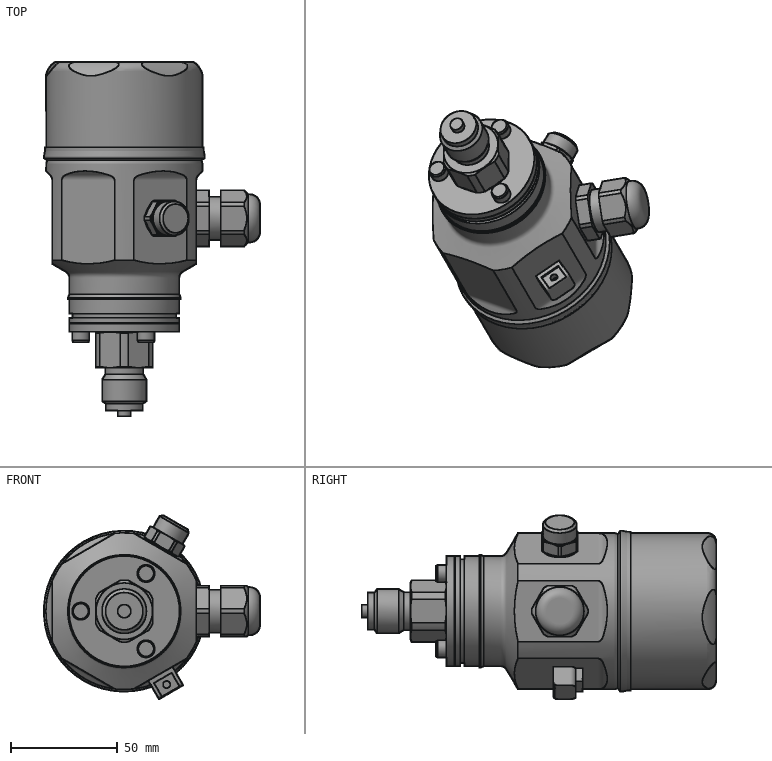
import cadquery as cq
import math


cutter_margin = 5.0
hexagon_half_pitch = 30.0

neck_radius = 26.0
collar_end = 2.5
neck_groove_end = 4.4
neck_groove_radius = 24.5
lip_start = 11.3
lip_end = 12.0
lip_radius = 26.6
lip_flare_end = 13.5
sleeve_end = 21.5

housing_radius = 36.9
cone_angle = 60.0
cone_fillet = 3.0
housing_start = 29.6
housing_end = 76.7
housing_edge = 1.6
housing_edge_depth = 0.5
flat_count = 6
flat_distance = 34.0
flat_end = 67.3
flat_run_out = 3.5
flat_run_out_angle = 45.0

cover_radius = 36.9
cover_height = 123.0
cover_fillet = 4.3
cover_turn = 4.65
rim_groove_radius = 36.4
rim_start = 77.7
rim_peak_end = 78.7
rim_flare_end = 81.0
rim_end = 82.7
rim_radius = 37.95
rim_upper_radius = 37.5
scallop_count = 6
scallop_height = 6.6
scallop_depth = 5.1
scallop_bulge = 0.5

fitting_y = 49.3
fitting_root = 30.0

gland_hex_width = 24.0
gland_hex_corner = 26.6
gland_nut_end = 40.0
gland_neck_radius = 10.2
gland_cap_start = 45.4
gland_cap_chamfer_start = 56.4
gland_cap_end = 58.3
gland_dome_radius = 11.4
gland_dome_fillet = 5.0
gland_end = 64.0

plug_angle = 60.0
plug_hex_width = 17.0
plug_hex_corner = 18.8
plug_hex_start = 34.8
plug_hex_end = 41.0
plug_hex_chamfer = 0.7
plug_washer_radius = 8.3
plug_radius = 8.0
plug_chamfer = 1.2
plug_end = 48.3

terminal_angle = -60.0
terminal_end = 44.1
terminal_width = 13.2
terminal_front_y = 46.2
terminal_back_y = 56.9
terminal_front_round = 2.0
terminal_back_round = 2.5
terminal_face_width = 9.6
terminal_face_depth = 0.8
terminal_face_start = 36.3
terminal_hole = 3.4
terminal_hole_reach = 39.9
terminal_hole_depth = 4.0
terminal_foot_end = 41.0
terminal_foot_width = 10.0
terminal_foot_back_y = 60.0

joint_gap = 0.2
flange_thickness = 3.9
bolt_count = 3
bolt_circle = 20.5
bolt_radius = 4.1
bolt_height = 5.0
bolt_edge = 0.5
bolt_edge_height = 1.0
hex_width = 27.0
hex_corner = 29.2
hex_length = 17.0
hex_face_radius = 13.3
hex_chamfer_length = 0.6
undercut_radius = 9.0
undercut_length = 3.0
thread_radius = 10.48
thread_runout = 2.5
thread_length = 10.2
thread_chamfer = 1.2
spigot_radius = 8.8
spigot_length = 3.2
pin_radius = 3.1
pin_length = 2.8


def turned_about_y(points):
    """Solid of revolution about Y from (radius, y) points closed along the axis."""
    outline = [(0, points[0][1])] + points + [(0, points[-1][1])]
    return cq.Workplane("XY").polyline(outline).close().revolve(360, (0, 0), (0, 1))


def turned_about_x(points):
    """Solid of revolution about X from (x, radius) points closed along the axis."""
    outline = [(points[0][0], 0)] + points + [(points[-1][0], 0)]
    return cq.Workplane("XY").polyline(outline).close().revolve(360, (0, 0), (1, 0))


def hex_bar(plane, width, length):
    """Hexagonal prism of a given width across flats, with corners on the plane's first axis."""
    corner_to_corner = width / math.cos(math.radians(hexagon_half_pitch))
    return cq.Workplane(plane).polygon(6, corner_to_corner).extrude(length)


def to_fitting(shape, angle):
    """Move a fitting built along X to its station and turn it about the main axis."""
    return shape.rotate((0, 0, 0), (0, 1, 0), -angle).translate((0, fitting_y, 0))


def make_neck():
    return turned_about_y([
        (neck_radius, 0),
        (neck_radius, collar_end),
        (neck_groove_radius, collar_end),
        (neck_groove_radius, neck_groove_end),
        (neck_radius, neck_groove_end),
        (neck_radius, lip_start),
        (lip_radius, lip_start),
        (lip_radius, lip_end),
        (neck_radius, lip_flare_end),
        (neck_radius, sleeve_end),
    ])


def flat_cutter(angle):
    """Cutter for one housing flat, with a rounded, sloping run-out toward the cover."""
    outside = housing_radius + cutter_margin
    below = sleeve_end
    bend = math.radians(flat_run_out_angle)
    arc_x = flat_distance + flat_run_out * (1 - math.cos(bend))
    arc_y = flat_end + flat_run_out * math.sin(bend)
    mid_x = flat_distance + flat_run_out * (1 - math.cos(bend / 2))
    mid_y = flat_end + flat_run_out * math.sin(bend / 2)
    return (
        cq.Workplane("XY")
        .moveTo(flat_distance, below)
        .lineTo(flat_distance, flat_end)
        .threePointArc((mid_x, mid_y), (arc_x, arc_y))
        .lineTo(outside, arc_y + (outside - arc_x) * math.tan(bend))
        .lineTo(outside, below)
        .close()
        .extrude(housing_radius, both=True)
        .rotate((0, 0, 0), (0, 1, 0), angle)
    )


def make_housing():
    slope = math.radians(cone_angle)
    fillet_end_radius = neck_radius + cone_fillet * (1 - math.cos(slope))
    fillet_end_y = sleeve_end + cone_fillet * math.sin(slope)
    fillet_mid_radius = neck_radius + cone_fillet * (1 - math.cos(slope / 2))
    fillet_mid_y = sleeve_end + cone_fillet * math.sin(slope / 2)
    shell = (
        cq.Workplane("XY")
        .moveTo(0, sleeve_end)
        .lineTo(neck_radius, sleeve_end)
        .threePointArc((fillet_mid_radius, fillet_mid_y), (fillet_end_radius, fillet_end_y))
        .lineTo(housing_radius, housing_start)
        .lineTo(housing_radius, housing_end - housing_edge)
        .lineTo(housing_radius - housing_edge_depth, housing_end)
        .lineTo(0, housing_end)
        .close()
        .revolve(360, (0, 0), (0, 1))
    )
    for index in range(flat_count):
        shell = shell.cut(flat_cutter(index * 360 / flat_count))
    return shell


def scallop_cutter(angle):
    """Cutter for one grip scallop on the cover's edge, with a bulging floor."""
    outside = cover_radius + cutter_margin
    top = cover_height + cutter_margin
    chord = math.hypot(scallop_depth, scallop_height)
    mid_radius = cover_radius - scallop_depth / 2 + scallop_bulge * scallop_height / chord
    mid_y = cover_height - scallop_height / 2 + scallop_bulge * scallop_depth / chord
    return (
        cq.Workplane("XY")
        .moveTo(cover_radius, cover_height - scallop_height)
        .threePointArc(
            (mid_radius, mid_y),
            (cover_radius - scallop_depth, cover_height),
        )
        .lineTo(cover_radius - scallop_depth, top)
        .lineTo(outside, top)
        .lineTo(outside, cover_height - scallop_height)
        .close()
        .extrude(cover_radius, both=True)
        .rotate((0, 0, 0), (0, 1, 0), angle)
    )


def make_cover():
    cover = turned_about_y([
        (rim_groove_radius, housing_end),
        (rim_radius, rim_start),
        (rim_radius, rim_peak_end),
        (rim_upper_radius, rim_flare_end),
        (rim_upper_radius, rim_end),
        (cover_radius, rim_end),
        (cover_radius, cover_height),
    ])
    cover = cover.faces(">Y").edges().fillet(cover_fillet)
    for index in range(scallop_count):
        cover = cover.cut(scallop_cutter(cover_turn + index * 360 / scallop_count))
    return cover


def make_gland():
    """Cable gland along X: nut, waist and domed cap nut."""
    corner = gland_hex_corner / 2
    nut_end = gland_nut_end
    envelope = turned_about_x([
        (fitting_root, corner),
        (nut_end, corner),
        (nut_end, gland_neck_radius),
        (gland_cap_start, gland_neck_radius),
        (gland_cap_start, corner),
        (gland_cap_chamfer_start, corner),
        (gland_cap_end, gland_dome_radius),
    ])
    hexagon = hex_bar("YZ", gland_hex_width, gland_end)
    dome = turned_about_x([(gland_cap_start, gland_dome_radius), (gland_end, gland_dome_radius)])
    dome = dome.faces(">X").edges().fillet(gland_dome_fillet)
    return to_fitting(envelope.intersect(hexagon).union(dome), 0)


def make_plug():
    """Blanking plug with a hexagon base on a round washer."""
    corner = plug_hex_corner / 2
    hexagon = hex_bar("YZ", plug_hex_width, plug_hex_end).rotate((0, 0, 0), (1, 0, 0), hexagon_half_pitch)
    envelope = turned_about_x([
        (plug_hex_start, corner - plug_hex_chamfer),
        (plug_hex_start + plug_hex_chamfer / 2, corner),
        (plug_hex_end - plug_hex_chamfer / 2, corner),
        (plug_hex_end, corner - plug_hex_chamfer),
    ])
    washer = turned_about_x([
        (fitting_root, plug_washer_radius),
        (plug_hex_start, plug_washer_radius),
    ])
    button = turned_about_x([(fitting_root, plug_radius), (plug_end, plug_radius)])
    button = button.faces(">X").chamfer(plug_chamfer)
    head = hexagon.intersect(envelope)
    return to_fitting(head.union(washer).union(button), plug_angle)


def radial_box(start, end, width, front_y, back_y):
    """Box along X between two distances from the main axis and two stations along Y."""
    return (
        cq.Workplane("XY")
        .box(end - start, back_y - front_y, width, centered=(False, False, True))
        .translate((start, front_y - fitting_y, 0))
    )


def make_terminal():
    """Ground terminal with a recessed, drilled front face and a lower foot behind it."""
    block = radial_box(fitting_root, terminal_end, terminal_width, terminal_front_y, terminal_back_y)
    block = block.edges(">Y and |X").fillet(terminal_back_round)
    block = block.edges("<Y and >X").fillet(terminal_front_round)
    recess_y = terminal_front_y + terminal_face_depth
    recess = radial_box(
        terminal_face_start, terminal_end, terminal_face_width, terminal_front_y, recess_y
    )
    hole = (
        cq.Workplane("XZ", origin=(terminal_hole_reach, terminal_front_y - fitting_y, 0))
        .circle(terminal_hole / 2)
        .extrude(-terminal_hole_depth)
    )
    foot = radial_box(
        fitting_root, terminal_foot_end, terminal_foot_width, terminal_back_y, terminal_foot_back_y
    )
    return to_fitting(block.cut(recess).cut(hole).union(foot), terminal_angle)


def make_transmitter():
    body = make_neck().union(make_housing()).union(make_cover())
    return body.union(make_gland()).union(make_plug()).union(make_terminal())


def make_bolt(angle):
    face_y = -joint_gap - flange_thickness
    end_y = face_y - bolt_height
    bolt = turned_about_y([
        (bolt_radius, face_y),
        (bolt_radius, end_y + bolt_edge_height),
        (bolt_radius - bolt_edge, end_y),
    ])
    return bolt.translate((-bolt_circle, 0, 0)).rotate((0, 0, 0), (0, 1, 0), angle)


def make_process_connection():
    """Flange, bolt heads, wrench hexagon and threaded nose."""
    flange_start = -joint_gap
    hex_start = flange_start - flange_thickness
    hex_end = hex_start - hex_length
    undercut_end = hex_end - undercut_length
    thread_start = undercut_end - thread_runout
    thread_end = thread_start - thread_length
    spigot_start = thread_end - thread_chamfer
    spigot_end = spigot_start - spigot_length
    pin_end = spigot_end - pin_length

    flange = turned_about_y([(neck_radius, flange_start), (neck_radius, hex_start)])
    hex_envelope = turned_about_y([
        (hex_face_radius, hex_start),
        (hex_corner / 2, hex_start - hex_chamfer_length),
        (hex_corner / 2, hex_end + hex_chamfer_length),
        (hex_face_radius, hex_end),
    ])
    hexagon = hex_bar("XZ", hex_width, -hex_end).rotate((0, 0, 0), (0, 1, 0), hexagon_half_pitch)
    nose = turned_about_y([
        (undercut_radius, hex_end),
        (undercut_radius, undercut_end),
        (thread_radius, thread_start),
        (thread_radius, thread_end),
        (spigot_radius, spigot_start),
        (spigot_radius, spigot_end),
        (pin_radius, spigot_end),
        (pin_radius, pin_end),
    ])
    connection = flange.union(hex_envelope.intersect(hexagon)).union(nose)
    for index in range(bolt_count):
        connection = connection.union(make_bolt(index * 360 / bolt_count))
    return connection


transmitter = make_transmitter()
process_connection = make_process_connection()
result = cq.Compound.makeCompound([transmitter.val(), process_connection.val()])